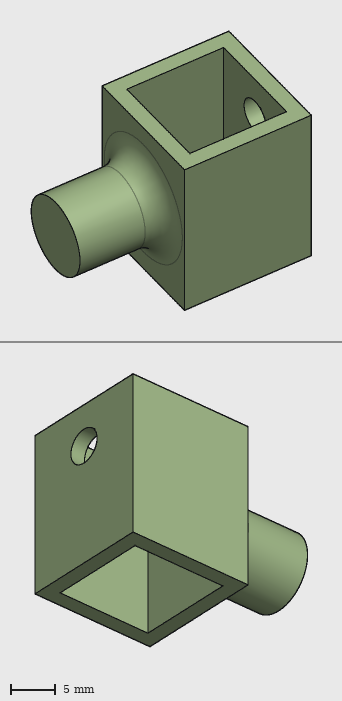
import cadquery as cq

tube_width = 16.9
tube_height = 21.0
wall = 2.0

overall_length = 28.6
pin_diameter = 10.0
flare_radius = 3.0

hole_diameter = 4.5
hole_below_top = 5.5

half_width = tube_width / 2
pin_radius = pin_diameter / 2
pin_length = overall_length - tube_width
opening_width = tube_width - 2 * wall


def make_tube():
    return (
        cq.Workplane("XY")
        .rect(tube_width, tube_width)
        .rect(opening_width, opening_width)
        .extrude(tube_height / 2, both=True)
    )


def make_flared_pin():
    """Revolve the pin's half profile about the Y axis."""
    face_y = -half_width
    root_y = face_y + wall / 2
    flare_outer = pin_radius + flare_radius
    return (
        cq.Workplane("XY")
        .moveTo(0, root_y)
        .lineTo(flare_outer, root_y)
        .lineTo(flare_outer, face_y)
        .radiusArc((pin_radius, face_y - flare_radius), -flare_radius)
        .lineTo(pin_radius, face_y - pin_length)
        .lineTo(0, face_y - pin_length)
        .close()
        .revolve(360, (0, 0, 0), (0, 1, 0))
    )


def make_hole_cutter():
    """Cylinder along +Y, from inside the opening to beyond the +Y wall."""
    return (
        cq.Workplane("XZ")
        .center(0, tube_height / 2 - hole_below_top)
        .circle(hole_diameter / 2)
        .extrude(-tube_width)
    )


result = make_tube().union(make_flared_pin()).cut(make_hole_cutter())